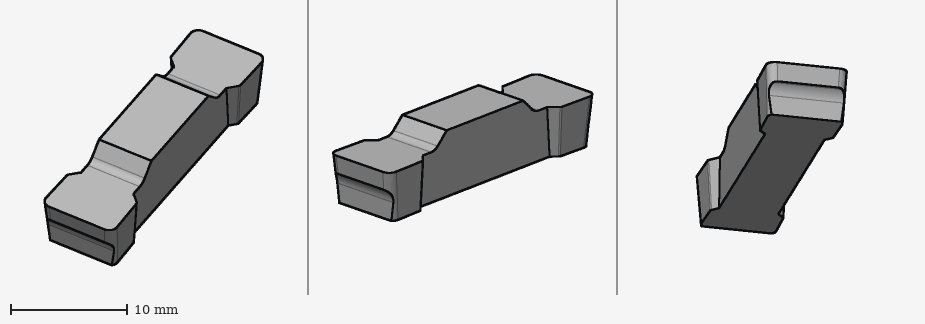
import cadquery as cq
import math

half_length = 12.9
total_height = 6.15
head_height = 4.67

spine_half_width = 2.63
plateau_half_length = 4.77
ramp_fillet_radius = 1.15
spine_half_length = 10.32

overall_width = 7.15
plan_taper = math.radians(1.5)
tip_corner_radius = 0.8
tip_half_width = overall_width / 2 + tip_corner_radius * math.tan(plan_taper)
shoulder_half_width = 3.48
neck_y = 7.77
shoulder_radius = 0.25

side_lean = head_height * math.tan(math.radians(3))
end_lean = head_height * math.tan(math.radians(6))
neck_lean = 0.3

relief_bottom = 1.78
relief_y = 12.18
relief_radius = 1.5
relief_overrun = 1.3


def head_outline(side_inset, end_inset, neck_shift):
    """Head outline with 45 degree shoulders widening from the neck."""
    neck = neck_y + neck_shift
    tip_x = tip_half_width - side_inset
    shoulder_x = shoulder_half_width - side_inset
    tip_y = half_length - end_inset
    shoulder_y = neck + shoulder_x - spine_half_width
    right_side = [(spine_half_width, neck), (shoulder_x, shoulder_y), (tip_x, tip_y)]
    left_side = [(-x, y) for x, y in reversed(right_side)]
    return right_side + left_side


def relief_cutter():
    """Prism that undercuts the end face: vertical wall, tangent arc, 45 degree slope."""
    slope_angle = math.radians(45)
    half_angle = slope_angle / 2
    arc_center_y = relief_y + relief_radius
    arc_mid = (
        arc_center_y - relief_radius * math.cos(half_angle),
        relief_bottom + relief_radius * math.sin(half_angle),
    )
    arc_end = (
        arc_center_y - relief_radius * math.cos(slope_angle),
        relief_bottom + relief_radius * math.sin(slope_angle),
    )
    outer_y = half_length + relief_overrun
    slope_end = (outer_y, arc_end[1] + outer_y - arc_end[0])
    return (
        cq.Workplane("YZ")
        .moveTo(relief_y, -relief_overrun)
        .lineTo(relief_y, relief_bottom)
        .threePointArc(arc_mid, arc_end)
        .lineTo(*slope_end)
        .lineTo(outer_y, -relief_overrun)
        .close()
        .extrude(half_length, both=True)
    )


def make_head():
    """Drafted head at the +Y end with rounded corners and relief."""
    head = (
        cq.Workplane("XY")
        .polyline(head_outline(side_lean, end_lean, neck_lean))
        .close()
        .workplane(offset=head_height)
        .polyline(head_outline(0, 0, 0))
        .close()
        .loft(ruled=True)
    )
    for side in (-1, 1):
        tip = (side * (tip_half_width - side_lean / 2), half_length - end_lean / 2, head_height / 2)
        head = head.edges(cq.selectors.NearestToPointSelector(tip)).fillet(tip_corner_radius)

        shoulder_x = shoulder_half_width - side_lean / 2
        shoulder_y = neck_y + neck_lean / 2 + shoulder_x - spine_half_width
        shoulder = (side * shoulder_x, shoulder_y, head_height / 2)
        head = head.edges(cq.selectors.NearestToPointSelector(shoulder)).fillet(shoulder_radius)
    return head.cut(relief_cutter())


def make_spine():
    """Straight bar with a raised plateau between two 45 degree ramps."""
    ramp_foot_y = plateau_half_length + total_height - head_height
    bar = (
        cq.Workplane("YZ")
        .polyline([
            (-spine_half_length, 0),
            (spine_half_length, 0),
            (spine_half_length, head_height),
            (ramp_foot_y, head_height),
            (plateau_half_length, total_height),
            (-plateau_half_length, total_height),
            (-ramp_foot_y, head_height),
            (-spine_half_length, head_height),
        ])
        .close()
        .extrude(spine_half_width, both=True)
    )
    for end in (-1, 1):
        foot = cq.selectors.NearestToPointSelector((0, end * ramp_foot_y, head_height))
        bar = bar.edges(foot).fillet(ramp_fillet_radius)
    return bar


head = make_head()
result = make_spine().union(head).union(head.mirror("XZ"))